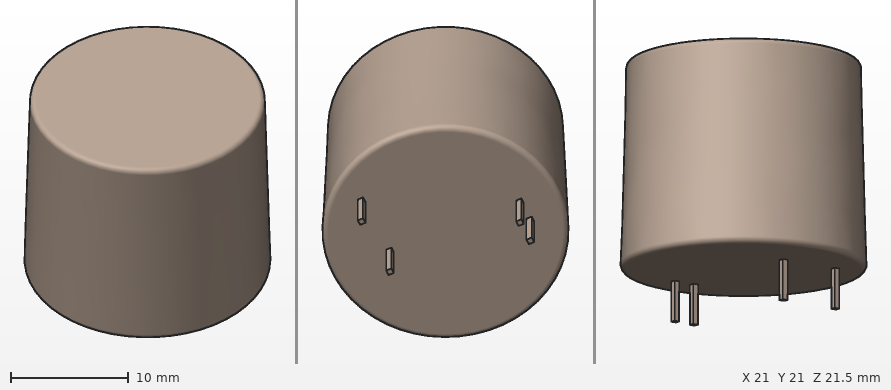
import cadquery as cq

OVERALL_HEIGHT = 21.5

BASE_DIAMETER = 20.98
TOP_DIAMETER = 20.0
HOUSING_HEIGHT = 18.0
EDGE_RADIUS = 0.5

PIN_WIDTH = 0.5
PIN_LENGTH = OVERALL_HEIGHT - HOUSING_HEIGHT
LEFT_PIN_X = -7.05
RIGHT_PIN_X = 5.0
PIN_CENTRES = [
    (LEFT_PIN_X, 0.0),
    (LEFT_PIN_X, -2.0),
    (RIGHT_PIN_X, 0.5),
    (RIGHT_PIN_X, 6.0),
]


def make_housing():
    base_radius = BASE_DIAMETER / 2
    top_radius = TOP_DIAMETER / 2
    profile = (
        cq.Workplane("XZ")
        .lineTo(base_radius, 0)
        .lineTo(top_radius, HOUSING_HEIGHT)
        .lineTo(0, HOUSING_HEIGHT)
        .close()
    )
    can = profile.revolve(360, (0, 0), (0, 1))
    return can.faces("<Z or >Z").edges().fillet(EDGE_RADIUS)


def make_pin(centre):
    return cq.Workplane("XY").center(*centre).rect(PIN_WIDTH, PIN_WIDTH).extrude(-PIN_LENGTH)


housing = make_housing()
pins = [make_pin(centre) for centre in PIN_CENTRES]

result = cq.Compound.makeCompound([housing.val()] + [pin.val() for pin in pins])